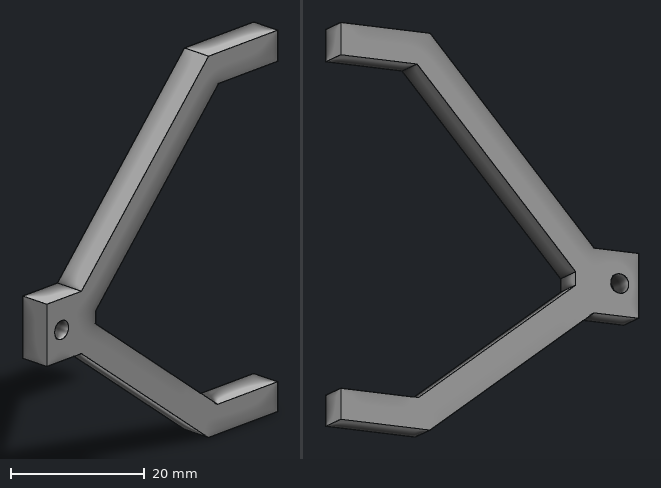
import cadquery as cq
import math

plate_thickness = 5.0
total_depth = 50.0
upper_reach = 35.0
lower_reach = 26.12

hub_half_height = 5.0
hub_depth = 7.5
hole_diameter = 3.0
hole_offset = 3.2

arm_width = 5.0
pad_length = 15.0
upper_pad_thickness = 5.0
lower_pad_thickness = 4.8
crotch_depth = 10.6

pad_start = total_depth - pad_length
arm_run = pad_start - hub_depth


def inner_edge(reach, pad_thickness):
    """Return the inner edge (Y, distance from hub centre) of one arm, pad tip first."""
    slope = (reach - hub_half_height) / arm_run
    vertical_width = arm_width * math.hypot(1.0, slope)
    inner_reach = reach - pad_thickness
    bend_depth = pad_start + (vertical_width - pad_thickness) / slope
    crotch_height = hub_half_height + slope * (crotch_depth - hub_depth) - vertical_width
    return [
        (total_depth, inner_reach),
        (bend_depth, inner_reach),
        (crotch_depth, crotch_height),
    ]


def outer_edge(reach):
    """Return the outer edge (Y, distance from hub centre) of one arm, hub first."""
    return [
        (0.0, hub_half_height),
        (hub_depth, hub_half_height),
        (pad_start, reach),
        (total_depth, reach),
    ]


def half_outline(reach, pad_thickness):
    """Return one arm's outline from the hub's outer face round to the crotch."""
    return outer_edge(reach) + inner_edge(reach, pad_thickness)


def make_bracket():
    """Extrude the two-armed plate, centred on X = 0."""
    upper = half_outline(upper_reach, upper_pad_thickness)
    lower = [(y, -z) for y, z in half_outline(lower_reach, lower_pad_thickness)]
    outline = upper + lower[::-1]
    return (
        cq.Workplane("YZ")
        .polyline(outline)
        .close()
        .extrude(plate_thickness / 2, both=True)
    )


def make_pivot_hole():
    """Return the cylinder that cuts the pivot hole through the hub along X."""
    return (
        cq.Workplane("YZ")
        .center(hole_offset, 0.0)
        .circle(hole_diameter / 2)
        .extrude(plate_thickness, both=True)
    )


result = make_bracket().cut(make_pivot_hole())